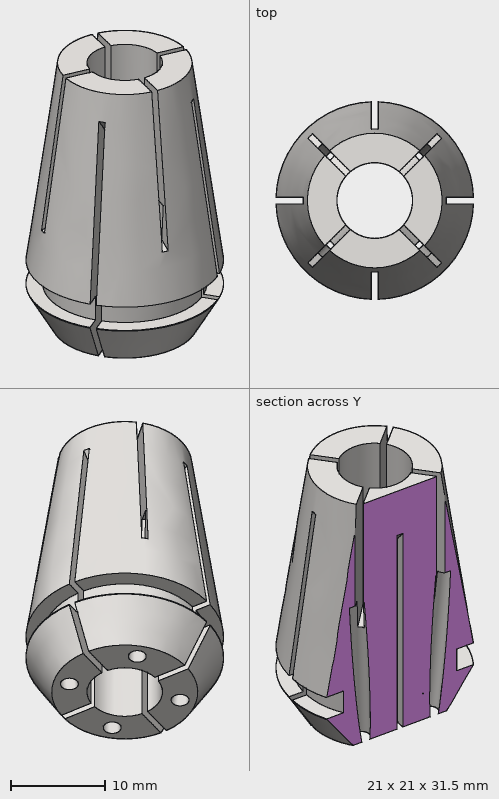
import cadquery as cq
import math

length = 31.5
max_radius = 10.5
bore_radius = 4.0

taper_angle = 8.0
nose_angle = 30.0
groove_radius = 8.73
groove_bottom = 4.85
groove_top = 7.65
rim_land = 0.1

slot_width = 0.7
cutter_radius = 31.5
lower_slot_outer_end = 28.22
lower_slot_inner_end = 24.25
upper_slot_outer_end = 13.4
upper_slot_inner_end = 16.1
slots_per_set = 4
slot_pitch = 360.0 / slots_per_set
upper_slot_offset = slot_pitch / 2

relief_radius = 0.95
relief_tilt = 5.0
relief_depth = 18.4
relief_start_radius = 6.02

clearance = 1.58


def taper_radius(z):
    """Outside radius of the clamping taper at height z."""
    return max_radius - (z - groove_top) * math.tan(math.radians(taper_angle))


def make_body():
    """Solid of revolution: nose, groove and clamping taper around the bore."""
    land_bottom = groove_bottom - rim_land
    nose_radius = max_radius - land_bottom * math.tan(math.radians(nose_angle))
    profile = [
        (bore_radius, 0),
        (nose_radius, 0),
        (max_radius, land_bottom),
        (max_radius, groove_bottom),
        (groove_radius, groove_bottom),
        (groove_radius, groove_top),
        (max_radius, groove_top),
        (taper_radius(length), length),
        (bore_radius, length),
    ]
    return cq.Workplane("XZ").polyline(profile).close().revolve(360, (0, 0, 0), (0, 1, 0))


def make_slot(inner_end, outer_end, open_end):
    """Radial slot along +X whose blind end is the arc of a saw cutter."""
    outer_radius = taper_radius(outer_end)
    side = math.copysign(1, open_end - outer_end)
    return (
        cq.Workplane("XZ")
        .moveTo(0, open_end)
        .lineTo(0, inner_end)
        .lineTo(bore_radius, inner_end)
        .radiusArc((outer_radius, outer_end), side * -cutter_radius)
        .lineTo(max_radius + clearance, outer_end)
        .lineTo(max_radius + clearance, open_end)
        .close()
        .extrude(slot_width / 2, both=True)
    )


def make_relief_hole():
    """Blind hole from the bottom face, leaning outward as it rises."""
    axis = cq.Vector(math.sin(math.radians(relief_tilt)), 0, math.cos(math.radians(relief_tilt)))
    start = cq.Vector(relief_start_radius, 0, 0) - axis * clearance
    return cq.Workplane(cq.Solid.makeCylinder(relief_radius, relief_depth + clearance, start, axis))


lower_slot = make_slot(lower_slot_inner_end, lower_slot_outer_end, -clearance)
upper_slot = make_slot(upper_slot_inner_end, upper_slot_outer_end, length + clearance)
relief_hole = make_relief_hole()

result = make_body()
for index in range(slots_per_set):
    lower_angle = index * slot_pitch
    upper_angle = lower_angle + upper_slot_offset
    result = result.cut(lower_slot.rotate((0, 0, 0), (0, 0, 1), lower_angle))
    result = result.cut(upper_slot.rotate((0, 0, 0), (0, 0, 1), upper_angle))
    result = result.cut(relief_hole.rotate((0, 0, 0), (0, 0, 1), upper_angle))